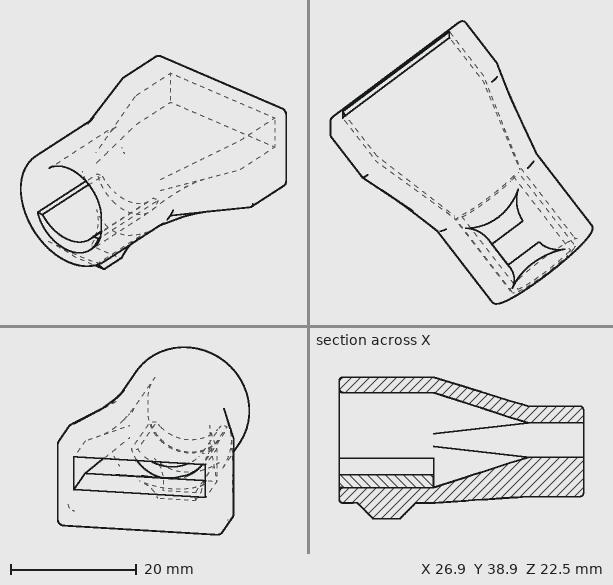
import cadquery as cq
import math

total_length = 38.85
total_height = 22.5
barrel_length = 15.0
transition_length = 15.0
box_start = barrel_length + transition_length
box_length = total_length - box_start

barrel_radius = 20.0 / 2
barrel_edge_round = 0.6

box_width = 26.85
box_top = 5.45
box_bottom = -9.0
box_height = box_top - box_bottom
box_center_z = (box_top + box_bottom) / 2
box_corner_radius = 1.0
box_end_round = 0.65

corner_height = 4.78
corner_angle = math.degrees(math.asin(corner_height / barrel_radius))
corner_arc_angle = 0.6

bore_radius = 13.0 / 2
bore_offset = 1.0
bore_mouth_round = 0.65
slot_height = 5.45
slot_wall = 2.75
slot_width = box_width - 2 * slot_wall

foot_width = 6.2
foot_bottom = barrel_radius - total_height
foot_front = 5.4
foot_length = 4.25
foot_blend_radius = 4.45
foot_corner_round = 0.15

insert_top = -2.87


def section(y):
    """Sketch plane facing -Y at station y; local x is X and local y is Z."""
    return cq.Workplane("XZ", origin=(0, y, 0))


def barrel_point(angle):
    """Point on the barrel circle, angle in degrees from +X toward +Z."""
    turn = math.radians(angle)
    return (barrel_radius * math.cos(turn), barrel_radius * math.sin(turn))


def ruled_body(first, last):
    return cq.Workplane(cq.Solid.makeLoft([first, last], True))


def round_end_outline():
    """Barrel circle split into a long arc per box side and a short arc per box corner."""
    low, high = corner_angle - corner_arc_angle / 2, corner_angle + corner_arc_angle / 2
    breaks = [-low, low, high, 180 - high, 180 - low, 180 + low, 180 + high, 360 - high, 360 - low]
    outline = section(barrel_length).moveTo(*barrel_point(breaks[0]))
    for start, end in zip(breaks, breaks[1:]):
        outline = outline.threePointArc(barrel_point((start + end) / 2), barrel_point(end))
    return outline.wire().val()


def box_outline(y):
    """Rounded rectangle, starting at the bottom of its +X side."""
    side = box_width / 2
    r = box_corner_radius
    miter = r * (1 - math.sqrt(0.5))
    return (
        section(y)
        .moveTo(side, box_bottom + r)
        .lineTo(side, box_top - r)
        .threePointArc((side - miter, box_top - miter), (side - r, box_top))
        .lineTo(r - side, box_top)
        .threePointArc((miter - side, box_top - miter), (-side, box_top - r))
        .lineTo(-side, box_bottom + r)
        .threePointArc((miter - side, box_bottom + miter), (r - side, box_bottom))
        .lineTo(side - r, box_bottom)
        .threePointArc((side - miter, box_bottom + miter), (side, box_bottom + r))
        .wire()
        .val()
    )


def bore_outline(y):
    """Obround with short straight sides, taller than wide."""
    peak = bore_radius + bore_offset
    return (
        section(y)
        .moveTo(bore_radius, -bore_offset)
        .lineTo(bore_radius, bore_offset)
        .threePointArc((0, peak), (-bore_radius, bore_offset))
        .lineTo(-bore_radius, -bore_offset)
        .threePointArc((0, -peak), (bore_radius, -bore_offset))
        .wire()
    )


def slot_outline(y):
    side, half_height = slot_width / 2, slot_height / 2
    return (
        section(y)
        .moveTo(side, -half_height)
        .lineTo(side, half_height)
        .lineTo(-side, half_height)
        .lineTo(-side, -half_height)
        .close()
    )


def make_foot():
    """Foot with 45 degree ends, its flanks curving tangent into the barrel."""
    half = foot_width / 2
    blend_x = half + foot_blend_radius
    blend_z = -math.sqrt((barrel_radius + foot_blend_radius) ** 2 - blend_x**2)
    reach = barrel_radius / (barrel_radius + foot_blend_radius)
    touch = (blend_x * reach, blend_z * reach)
    middle_angle = (math.pi + math.atan2(touch[1] - blend_z, touch[0] - blend_x)) / 2
    middle = (
        blend_x + foot_blend_radius * math.cos(middle_angle),
        blend_z + foot_blend_radius * math.sin(middle_angle),
    )
    profile = (
        section(0)
        .moveTo(-half, foot_bottom)
        .lineTo(half, foot_bottom)
        .lineTo(half, blend_z)
        .threePointArc(middle, touch)
        .lineTo(-touch[0], touch[1])
        .threePointArc((-middle[0], middle[1]), (-half, blend_z))
        .close()
        .extrude(-barrel_length)
    )
    bottom_corners = profile.faces("<Z").edges("|Y")
    profile = bottom_corners.fillet(foot_corner_round)
    rise = touch[1] - foot_bottom
    foot_rear = foot_front + foot_length
    sides = (
        cq.Workplane("YZ")
        .moveTo(foot_front, foot_bottom)
        .lineTo(foot_rear, foot_bottom)
        .lineTo(foot_rear + rise, touch[1])
        .lineTo(foot_rear + rise, -bore_radius - bore_offset)
        .lineTo(foot_front - rise, -bore_radius - bore_offset)
        .lineTo(foot_front - rise, touch[1])
        .close()
        .extrude(barrel_radius, both=True)
    )
    return profile.intersect(sides)


def make_housing():
    barrel = section(0).circle(barrel_radius).extrude(-barrel_length)
    barrel = barrel.faces("<Y").edges().fillet(barrel_edge_round)

    transition = ruled_body(round_end_outline(), box_outline(box_start))

    box = (
        section(box_start)
        .center(0, box_center_z)
        .rect(box_width, box_height)
        .extrude(-box_length)
        .edges("|Y")
        .fillet(box_corner_radius)
        .faces(">Y")
        .edges()
        .fillet(box_end_round)
    )

    outside = barrel.union(make_foot()).union(transition).union(box)

    bore = bore_outline(0).extrude(-barrel_length)
    funnel = ruled_body(bore_outline(barrel_length).val(), slot_outline(box_start).val())
    slot = slot_outline(box_start).extrude(-box_length)
    housing = outside.cut(bore).cut(funnel).cut(slot)

    mouth = housing.faces("<Y").val().innerWires()[0]
    return housing.newObject(mouth.Edges()).fillet(bore_mouth_round).solids()


def make_insert():
    """Crescent in the bore, flush with the mouth, hollowed by the bore's upper circle and cut flat on top."""
    filled_bore = bore_outline(0).extrude(-barrel_length)
    hollow = section(0).center(0, bore_offset).circle(bore_radius).extrude(-barrel_length)
    above = (
        section(0)
        .center(0, insert_top + barrel_radius)
        .rect(2 * barrel_radius, 2 * barrel_radius)
        .extrude(-barrel_length)
    )
    return filled_bore.cut(hollow).cut(above).solids()


housing = make_housing()
insert = make_insert()

result = cq.Compound.makeCompound([housing.val(), insert.val()])